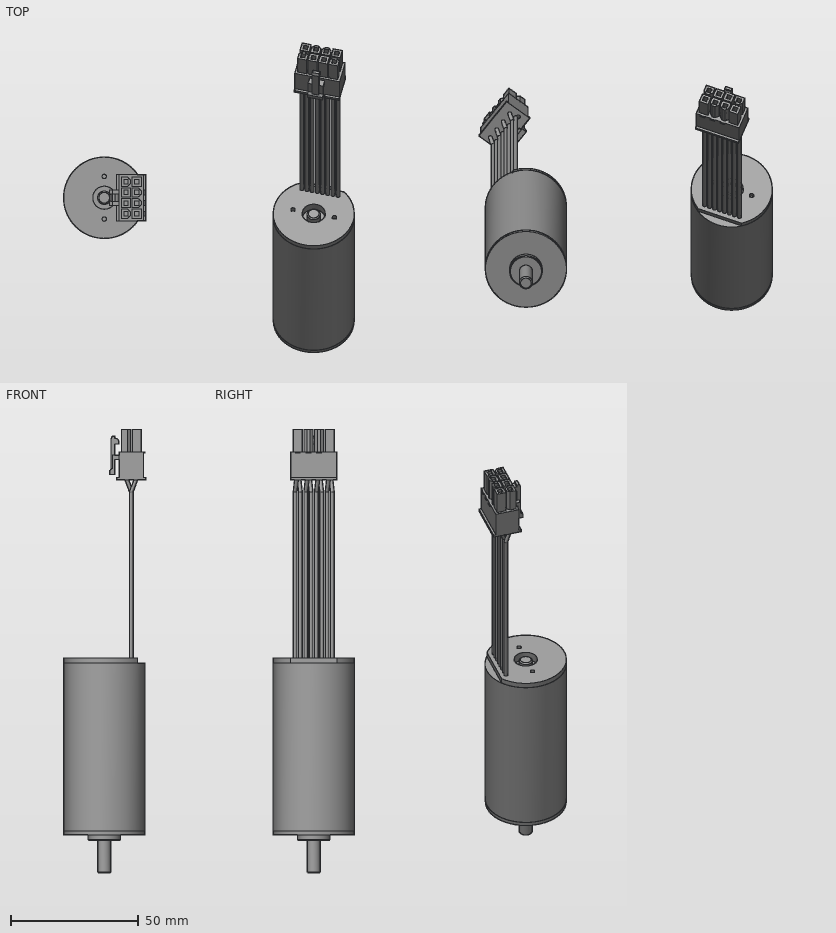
import cadquery as cq

OVERALL_LENGTH = 174.4

MOTOR_RADIUS = 16.0
END_PLATE_INSET = 0.09
END_PLATE_RADIUS = MOTOR_RADIUS - END_PLATE_INSET
FRONT_PLATE_HEIGHT = 1.5
CAP_BASE_Z = 67.5
CAP_TOP_Z = 69.5
CAP_FLAT_X = 13.0

SHAFT_RADIUS = 2.6
SHAFT_LENGTH = 15.0
SHAFT_CHAMFER = 0.5
BOSS_RADIUS = 6.5
BOSS_HEIGHT = 2.1
BOSS_CHAMFER = 0.3

BEARING_RECESS_RADIUS = 4.5
BEARING_RECESS_DEPTH = 3.5
REAR_SHAFT_HEIGHT = 3.3

SCREW_HOLE_RADIUS = 0.9
SCREW_HOLE_OFFSET = 8.4
SCREW_HOLE_DEPTH = 2.1

PLUG_X = 10.6
CELL_PITCH = 4.2
ROWS = 2
COLUMNS = 4
PLUG_BASE_Z = 139.5
PLUG_TOP_Z = OVERALL_LENGTH - SHAFT_LENGTH
FLANGE_HALF_DEPTH = 5.8
FLANGE_HEIGHT = 1.0
FLANGE_NOTCH_WIDTH = 6.3
HOUSING_DEPTH = 9.6
HOUSING_WIDTH = 18.1
HOUSING_TOP_Z = 150.5

CELL_SIZE = 3.7
CELL_CHAMFER = 1.2
SOCKET_SIZE = 1.7

LIP_COUNT = COLUMNS - 1
LIP_DEPTH = 0.5
LIP_WIDTH = 2.0
LIP_HEIGHT = 0.3

LATCH_OUTER_X = 2.6
LATCH_INNER_X = 4.2
LATCH_PAD_X = 3.1
LATCH_FOOT_X = 2.1
LATCH_TOP_Z = 156.8
LATCH_TOP_BEVEL_DEPTH = 0.5
LATCH_TOP_BEVEL_HEIGHT = 1.0
LATCH_BOTTOM_Z = 141.6
LATCH_FOOT_Z = 143.2
LATCH_FOOT_SLOPE = 0.9
LATCH_PAD_TOP_Z = 149.3
LATCH_NECK_HEIGHT = 1.7
LATCH_ARM_WIDTH = 2.8
LATCH_PAD_WIDTH = 6.1
HOOK_X = 5.8
HOOK_TOP_Z = 155.9
HOOK_NOSE_RADIUS = 1.4
HOOK_BOTTOM_Z = 153.6

WIRE_RADIUS = 0.78
WIRE_BEND_Z = 134.8
WIRE_SPACING = CELL_PITCH / 2
WIRE_END_X_OFFSET = 1.7
WIRE_END_Y_OFFSET = 0.5


def centred_offsets(count, pitch):
    """Offsets of `count` evenly spaced places about zero."""
    return [(i - (count - 1) / 2) * pitch for i in range(count)]


def block(x_min, x_max, width, z_min, z_max, y_mid=0.0):
    """Box between two X and two Z limits, centred on y_mid."""
    return (
        cq.Workplane("XY")
        .box(x_max - x_min, width, z_max - z_min, centered=(False, True, False))
        .translate((x_min, y_mid, z_min))
    )


def disc(radius, z_min, z_max):
    """Cylinder about the motor axis."""
    return cq.Workplane("XY").workplane(offset=z_min).circle(radius).extrude(z_max - z_min)


def make_motor():
    front_plate = disc(END_PLATE_RADIUS, 0, FRONT_PLATE_HEIGHT)
    can = disc(MOTOR_RADIUS, FRONT_PLATE_HEIGHT, CAP_BASE_Z)
    beyond_flat = block(CAP_FLAT_X, MOTOR_RADIUS, 2 * MOTOR_RADIUS, CAP_BASE_Z, CAP_TOP_Z)
    cap = disc(END_PLATE_RADIUS, CAP_BASE_Z, CAP_TOP_Z).cut(beyond_flat)
    boss = disc(BOSS_RADIUS, -BOSS_HEIGHT, 0).faces("<Z").chamfer(BOSS_CHAMFER)
    shaft = disc(SHAFT_RADIUS, -SHAFT_LENGTH, 0).faces("<Z").chamfer(SHAFT_CHAMFER)

    recess_floor = CAP_TOP_Z - BEARING_RECESS_DEPTH
    recess = disc(BEARING_RECESS_RADIUS, recess_floor, CAP_TOP_Z)
    rear_shaft = disc(SHAFT_RADIUS, recess_floor, recess_floor + REAR_SHAFT_HEIGHT)
    rear_shaft = rear_shaft.faces(">Z").chamfer(SHAFT_CHAMFER)
    screw_holes = (
        cq.Workplane("XY")
        .workplane(offset=CAP_TOP_Z - SCREW_HOLE_DEPTH)
        .pushPoints([(0, SCREW_HOLE_OFFSET), (0, -SCREW_HOLE_OFFSET)])
        .circle(SCREW_HOLE_RADIUS)
        .extrude(SCREW_HOLE_DEPTH)
    )
    motor = can.union(front_plate).union(cap).union(boss).union(shaft)
    return motor.cut(recess).cut(screw_holes).union(rear_shaft)


def make_cell(row, column):
    """One square socket tube; alternate ones have the two +X corners chamfered as a key."""
    x_mid = PLUG_X + centred_offsets(ROWS, CELL_PITCH)[row]
    y_mid = centred_offsets(COLUMNS, CELL_PITCH)[column]
    is_end_column = column in (0, COLUMNS - 1)
    is_keyed = is_end_column == (row == 0)
    half = CELL_SIZE / 2
    cell = block(x_mid - half, x_mid + half, CELL_SIZE, HOUSING_TOP_Z, PLUG_TOP_Z, y_mid)
    if is_keyed:
        cell = cell.edges("|Z and >X").chamfer(CELL_CHAMFER)
    socket_half = SOCKET_SIZE / 2
    socket = block(
        x_mid - socket_half, x_mid + socket_half, SOCKET_SIZE, HOUSING_TOP_Z, PLUG_TOP_Z, y_mid
    )
    return cell.cut(socket)


def make_latch(housing_x):
    """Lever with a hook at its top, on a wider pad joined to the housing by a neck."""
    arm = (
        cq.Workplane("XZ")
        .moveTo(LATCH_OUTER_X, LATCH_FOOT_Z)
        .lineTo(LATCH_OUTER_X, LATCH_TOP_Z - LATCH_TOP_BEVEL_HEIGHT)
        .lineTo(LATCH_OUTER_X + LATCH_TOP_BEVEL_DEPTH, LATCH_TOP_Z)
        .lineTo(LATCH_INNER_X, LATCH_TOP_Z)
        .lineTo(LATCH_INNER_X, HOOK_TOP_Z)
        .lineTo(HOOK_X - HOOK_NOSE_RADIUS, HOOK_TOP_Z)
        .tangentArcPoint((HOOK_X, HOOK_TOP_Z - HOOK_NOSE_RADIUS), relative=False)
        .lineTo(HOOK_X, HOOK_BOTTOM_Z)
        .lineTo(LATCH_INNER_X, HOOK_BOTTOM_Z)
        .lineTo(LATCH_INNER_X, LATCH_FOOT_Z)
        .close()
        .extrude(LATCH_ARM_WIDTH / 2, both=True)
    )
    pad = (
        cq.Workplane("XZ")
        .moveTo(LATCH_PAD_X, LATCH_PAD_TOP_Z)
        .lineTo(housing_x, LATCH_PAD_TOP_Z)
        .lineTo(housing_x, LATCH_PAD_TOP_Z - LATCH_NECK_HEIGHT)
        .lineTo(LATCH_INNER_X, LATCH_PAD_TOP_Z - LATCH_NECK_HEIGHT)
        .lineTo(LATCH_INNER_X, LATCH_BOTTOM_Z)
        .lineTo(LATCH_FOOT_X, LATCH_BOTTOM_Z)
        .lineTo(LATCH_FOOT_X, LATCH_FOOT_Z)
        .lineTo(LATCH_PAD_X, LATCH_FOOT_Z + LATCH_FOOT_SLOPE)
        .close()
        .extrude(LATCH_PAD_WIDTH / 2, both=True)
    )
    return arm.union(pad)


def make_plug():
    housing_left = PLUG_X - HOUSING_DEPTH / 2
    housing_right = PLUG_X + HOUSING_DEPTH / 2
    flange_left = PLUG_X - FLANGE_HALF_DEPTH
    flange_right = PLUG_X + FLANGE_HALF_DEPTH
    flange_top = PLUG_BASE_Z + FLANGE_HEIGHT

    flange = block(flange_left, flange_right, HOUSING_WIDTH, PLUG_BASE_Z, flange_top)
    latch_notch = block(flange_left, housing_left, FLANGE_NOTCH_WIDTH, PLUG_BASE_Z, flange_top)
    housing = block(housing_left, housing_right, HOUSING_WIDTH, PLUG_BASE_Z, HOUSING_TOP_Z)
    plug = housing.union(flange.cut(latch_notch))
    lip_base = HOUSING_TOP_Z - LIP_HEIGHT
    for y_mid in centred_offsets(COLUMNS, CELL_PITCH)[:LIP_COUNT]:
        lip = block(housing_right, housing_right + LIP_DEPTH, LIP_WIDTH, lip_base, HOUSING_TOP_Z, y_mid)
        plug = plug.union(lip)
    for row in range(ROWS):
        for column in range(COLUMNS):
            plug = plug.union(make_cell(row, column))
    return plug.union(make_latch(housing_left))


def make_wire(column, side):
    """Straight wire from the motor cap, slanting at its top into one row of the plug.

    The +Y wire of each pair (side = 1) goes to the -X row and the -Y wire to the +X row.
    """
    column_y = centred_offsets(COLUMNS, CELL_PITCH)[column]
    straight_y = column_y + side * WIRE_SPACING / 2
    end_dx = -side * WIRE_END_X_OFFSET
    end_dy = column_y + side * WIRE_END_Y_OFFSET - straight_y
    straight = (
        cq.Workplane("XY", origin=(PLUG_X, straight_y, CAP_TOP_Z))
        .circle(WIRE_RADIUS)
        .extrude(WIRE_BEND_Z - CAP_TOP_Z)
    )
    slant = (
        cq.Workplane("XY", origin=(PLUG_X, straight_y, WIRE_BEND_Z))
        .circle(WIRE_RADIUS)
        .workplane(offset=PLUG_BASE_Z - WIRE_BEND_Z)
        .center(end_dx, end_dy)
        .circle(WIRE_RADIUS)
        .loft(ruled=True)
    )
    return straight.union(slant)


motor = make_motor()
plug = make_plug()
wires = [make_wire(column, side) for column in range(COLUMNS) for side in (1, -1)]

result = cq.Compound.makeCompound([motor.val(), plug.val(), *[wire.val() for wire in wires]])